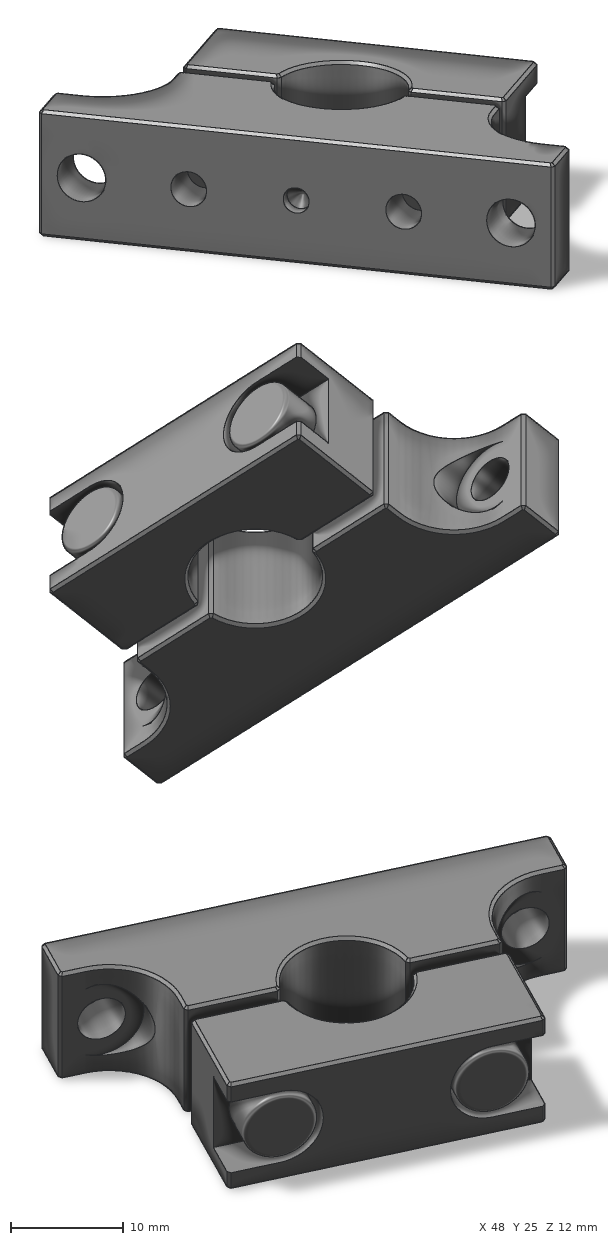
import cadquery as cq
import math


base_length = 48.0
total_depth = 25.0
height = 12.0
edge_chamfer = 0.3

clamp_width = 30.0
bore_diameter = 12.0
bore_center_y = 14.0
gap = 1.5
base_top_y = bore_center_y - gap / 2
cap_front_y = bore_center_y + gap / 2

foot_thickness = 5.0
foot_fillet_radius = 6.5
mount_hole_spacing = 40.0
mount_hole_diameter = 4.5
spotface_diameter = 8.0

screw_spacing = 20.0
shank_diameter = 4.0
shank_length = 16.0
head_diameter = 7.0
head_height = 4.0
head_fillet = 0.45
head_slot_width = 8.0
tap_hole_diameter = 3.3
head_seat_y = total_depth - head_height
screw_tip_y = head_seat_y - shank_length

center_hole_diameter = 2.4
center_hole_depth = 1.2
drill_point_angle = 90.0

mount_hole_xs = (-mount_hole_spacing / 2, mount_hole_spacing / 2)
screw_xs = (-screw_spacing / 2, screw_spacing / 2)


def y_cylinder(x, start_y, end_y, diameter):
    """Solid cylinder parallel to Y at the given X, on the Z mid plane."""
    return cq.Workplane(cq.Solid.makeCylinder(
        diameter / 2, end_y - start_y, cq.Vector(x, start_y, 0), cq.Vector(0, 1, 0)))


def bore():
    """Cylinder that removes the clamp bore."""
    return (cq.Workplane("XY").center(0, bore_center_y)
            .circle(bore_diameter / 2).extrude(height / 2, both=True))


def chamfer_rims(body):
    """Chamfer the outlines of the upper and lower faces."""
    return body.faces("<Z or >Z").edges().chamfer(edge_chamfer)


def base_blank():
    """Base outline with concave fillets rising from the feet, bored and chamfered."""
    half_base = base_length / 2
    half_clamp = clamp_width / 2
    fillet_end_x = half_clamp + foot_fillet_radius
    fillet_end_y = foot_thickness + foot_fillet_radius
    blank = (
        cq.Workplane("XY").workplane(offset=-height / 2)
        .moveTo(-half_base, 0)
        .lineTo(half_base, 0)
        .lineTo(half_base, foot_thickness)
        .lineTo(fillet_end_x, foot_thickness)
        .radiusArc((half_clamp, fillet_end_y), foot_fillet_radius)
        .lineTo(half_clamp, base_top_y)
        .lineTo(-half_clamp, base_top_y)
        .lineTo(-half_clamp, fillet_end_y)
        .radiusArc((-fillet_end_x, foot_thickness), foot_fillet_radius)
        .lineTo(-half_base, foot_thickness)
        .close()
        .extrude(height)
        .cut(bore())
    )
    blank = blank.faces("<X or >X or >Y").edges("|Z").chamfer(edge_chamfer)
    return chamfer_rims(blank)


def center_hole():
    """Blind drilled hole with a conical bottom."""
    radius = center_hole_diameter / 2
    point_depth = radius / math.tan(math.radians(drill_point_angle / 2))
    point = cq.Solid.makeCone(
        radius, 0, point_depth, cq.Vector(0, center_hole_depth, 0), cq.Vector(0, 1, 0))
    return y_cylinder(0, 0, center_hole_depth, center_hole_diameter).union(cq.Workplane(point))


def make_base():
    base = base_blank().cut(center_hole())
    for x in mount_hole_xs:
        base = base.cut(y_cylinder(x, 0, foot_thickness, mount_hole_diameter))
        base = base.cut(y_cylinder(x, foot_thickness, base_top_y, spotface_diameter))
    for x in screw_xs:
        base = base.cut(y_cylinder(x, 0, screw_tip_y, tap_hole_diameter))
        base = base.cut(y_cylinder(x, screw_tip_y, base_top_y, shank_diameter))
    return base


def head_slot(x):
    """Round-ended recess for a screw head, open through the nearer end of the cap."""
    open_length = clamp_width / 2 - abs(x)
    opening = cq.Workplane("XY").box(
        open_length, head_height, head_slot_width).translate(
        (x + math.copysign(open_length / 2, x), head_seat_y + head_height / 2, 0))
    return y_cylinder(x, head_seat_y, total_depth, head_slot_width).union(opening)


def make_cap():
    cap_depth = total_depth - cap_front_y
    cap = (cq.Workplane("XY").box(clamp_width, cap_depth, height)
           .translate((0, cap_front_y + cap_depth / 2, 0))
           .cut(bore()))
    cap = chamfer_rims(cap.edges("|Z").chamfer(edge_chamfer))
    for x in screw_xs:
        cap = cap.cut(head_slot(x))
        cap = cap.cut(y_cylinder(x, cap_front_y, head_seat_y, shank_diameter))
    return cap


def make_screw(x):
    head = y_cylinder(x, head_seat_y, total_depth, head_diameter).edges(">Y").fillet(head_fillet)
    return head.union(y_cylinder(x, screw_tip_y, head_seat_y, shank_diameter))


base = make_base()
cap = make_cap()
screws = [make_screw(x) for x in screw_xs]

result = cq.Compound.makeCompound([base.val(), cap.val(), *[screw.val() for screw in screws]])